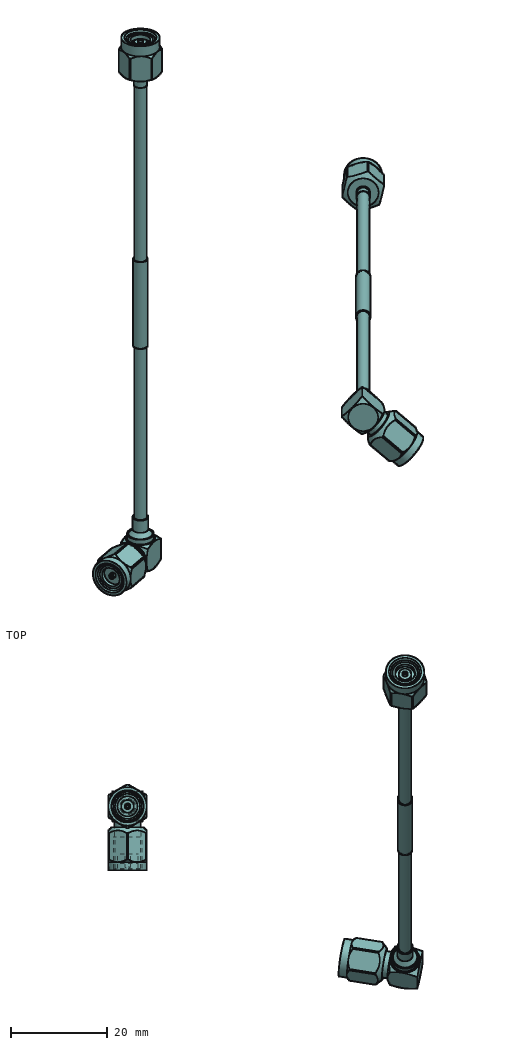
import cadquery as cq
import math

top_z = 120.82
elbow_face = 13.32

across_flats = 8.0
corner_radius = across_flats / 2 / math.cos(math.pi / 6)
tip_radius = 4.52
collar_radius = across_flats / 2
nut_bore_radius = 3.0
mouth_chamfer = 0.35
front_chamfer = tip_radius - collar_radius
straight_nut_length = 8.7
straight_nut_collar = 2.35
straight_back_radius = 3.2
elbow_nut_length = 9.0
elbow_nut_collar = 1.75
elbow_back_radius = 3.3
straight_back_chamfer = 0.75
elbow_back_chamfer = 1.2
nut_back_wall = 2.0

shell_radius = 2.6
shell_bore_radius = 2.08
shell_recess = 0.5
flange_depth = 1.0
insulator_depth = 1.5
pin_radius = 0.6
pin_tip_chamfer = 0.3
pin_recess = 0.5
pin_root = 2.0
flange_radius = 1.32
flange_length = 0.5

barrel_end = 11.15
barrel_radius = 1.43
cable_radius = 1.325
cable_entry = 2.0
sleeve_radius = 1.55
sleeve_length = 20.4
sleeve_center_z = 58.6

block_width = 6.35
block_chamfer_radius = 3.1
block_chamfer_angle = 30
neck_radius = 2.8
neck_end = 4.25
cone_base_radius = 2.5
cone_top = 5.3
ferrule_radius = 1.65
ferrule_top = 8.15


def tube(outer_radius, inner_radius, z_low, z_high):
    """Round tube about Z."""
    rings = cq.Workplane("XY").workplane(offset=z_low).circle(outer_radius).circle(inner_radius)
    return rings.extrude(z_high - z_low)


def rod(radius, z_low, z_high):
    """Round rod about Z."""
    return cq.Workplane("XY").workplane(offset=z_low).circle(radius).extrude(z_high - z_low)


def pin(z_low, z_high):
    """Contact pin about Z with a chamfered tip."""
    return rod(pin_radius, z_low, z_high).faces(">Z").chamfer(pin_tip_chamfer)


def turned(points):
    """Solid of revolution about Z from (radius, z) points."""
    return cq.Workplane("XZ").polyline(points).close().revolve(360, (0, 0), (0, 1))


def coupling_nut(length, collar_length, back_radius, back_chamfer, neck):
    """Hexagon nut along Z with its mating face at z = 0 and its back wall round a neck."""
    collar_z = -collar_length
    hexagon = (
        cq.Workplane("XY").workplane(offset=-length)
        .polygon(6, 2 * corner_radius).extrude(length)
        .rotate((0, 0, 0), (0, 0, 1), 30)
    )
    envelope = turned([
        (0, 0),
        (collar_radius, 0),
        (collar_radius, collar_z),
        (tip_radius, collar_z - front_chamfer),
        (tip_radius, -length + back_chamfer),
        (back_radius, -length),
        (0, -length),
    ])
    bore = turned([
        (0, 0),
        (nut_bore_radius + mouth_chamfer, 0),
        (nut_bore_radius, -mouth_chamfer),
        (nut_bore_radius, -length + nut_back_wall),
        (neck, -length + nut_back_wall),
        (neck, -length),
        (0, -length),
    ])
    return hexagon.intersect(envelope).cut(bore)


def to_straight(body):
    """Move a plug part from the origin to the straight end."""
    return body.translate((0, 0, top_z))


def to_elbow(body):
    """Turn a plug part to face -Y and move it to the elbow end."""
    return body.rotate((0, 0, 0), (1, 0, 0), 90).translate((0, -elbow_face, 0))


def make_straight_body():
    shell_floor = -flange_depth - flange_length
    body = rod(shell_radius, -straight_nut_length + nut_back_wall, -shell_recess)
    body = body.union(rod(barrel_radius, -barrel_end, -straight_nut_length + nut_back_wall))
    body = body.cut(rod(shell_bore_radius, shell_floor, 0))
    body = body.cut(rod(pin_radius, shell_floor - pin_root, shell_floor))
    return to_straight(body.cut(rod(cable_radius, -barrel_end, -barrel_end + cable_entry)))


def make_straight_contact():
    shell_floor = -flange_depth - flange_length
    contact = pin(shell_floor - pin_root, -pin_recess)
    return to_straight(contact.union(rod(flange_radius, shell_floor, -flange_depth)))


straight_nut = to_straight(
    coupling_nut(
        straight_nut_length, straight_nut_collar,
        straight_back_radius, straight_back_chamfer, barrel_radius,
    )
)
straight_body = make_straight_body()
straight_contact = make_straight_contact()


insulator_back = -insulator_depth - pin_root


def chamfered_block():
    """Square block whose corners are cut by cones on its bottom, top and -Y faces."""
    half = block_width / 2
    half_diagonal = half * math.sqrt(2)
    drop = (half_diagonal - block_chamfer_radius) * math.tan(math.radians(block_chamfer_angle))
    top_cone = turned([
        (0, half),
        (block_chamfer_radius, half),
        (half_diagonal, half - drop),
        (half_diagonal, -half),
        (0, -half),
    ])
    block = cq.Workplane("XY").box(block_width, block_width, block_width)
    for turn in (0, 90, 180):
        block = block.intersect(top_cone.rotate((0, 0, 0), (1, 0, 0), turn))
    return block


def make_elbow_body():
    half = block_width / 2
    cable_neck = turned([
        (0, 0),
        (neck_radius, 0),
        (neck_radius, neck_end),
        (cone_base_radius, neck_end),
        (ferrule_radius, cone_top),
        (ferrule_radius, ferrule_top),
        (0, ferrule_top),
    ])
    nut_inner_back = -elbow_nut_length + nut_back_wall
    plug = rod(neck_radius, half - elbow_face, nut_inner_back)
    plug = plug.union(rod(shell_radius, nut_inner_back, -shell_recess))
    plug = plug.cut(rod(shell_bore_radius, insulator_back, 0))
    body = chamfered_block().union(cable_neck).union(to_elbow(plug))
    return body.cut(rod(cable_radius, ferrule_top - cable_entry, ferrule_top))


elbow_nut = to_elbow(
    coupling_nut(
        elbow_nut_length, elbow_nut_collar,
        elbow_back_radius, elbow_back_chamfer, neck_radius,
    )
)
elbow_body = make_elbow_body()
elbow_insulator = to_elbow(tube(shell_bore_radius, pin_radius, insulator_back, -insulator_depth))
elbow_pin = to_elbow(pin(insulator_back, -pin_recess))

cable = rod(cable_radius, ferrule_top - cable_entry, top_z - barrel_end + cable_entry)
sleeve = tube(
    sleeve_radius, cable_radius,
    sleeve_center_z - sleeve_length / 2, sleeve_center_z + sleeve_length / 2,
)

result = cq.Compound.makeCompound([
    cable.val(),
    sleeve.val(),
    straight_nut.val(),
    straight_body.val(),
    straight_contact.val(),
    elbow_nut.val(),
    elbow_body.val(),
    elbow_insulator.val(),
    elbow_pin.val(),
])